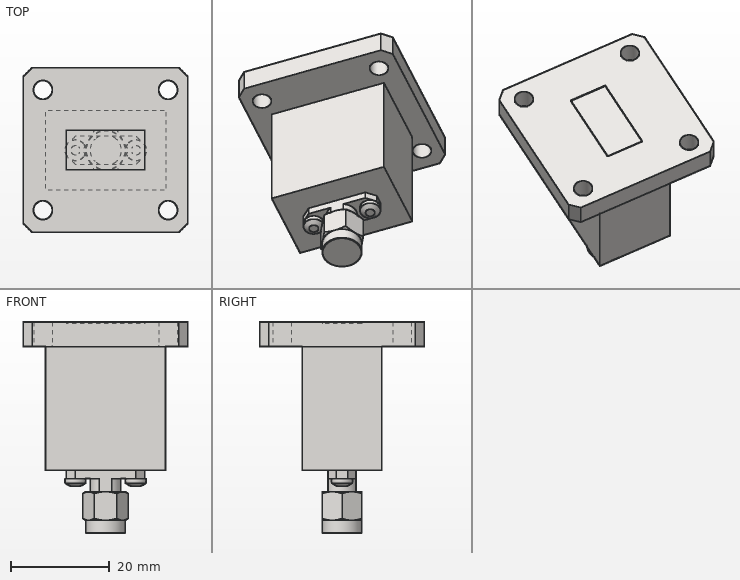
import cadquery as cq
import math


flange_side = 33.32
flange_thickness = 5.0
flange_corner_cut = 1.85
bolt_spacing_x = 25.3
bolt_spacing_y = 24.3
bolt_hole_diameter = 3.75

opening_length = 15.8
opening_width = 7.9
opening_depth = 0.25

body_length = 24.3
body_width = 16.1
body_height = 25.0

plate_length = 15.9
plate_width = 5.68
plate_thickness = 1.65
plate_corner_cut_x = 1.85
plate_corner_cut_y = 1.7

screw_spacing = 12.2
screw_head_diameter = 4.27
screw_edge_taper = 0.07
screw_flare_depth = 0.33
screw_rim_depth = 0.62
screw_dome_depth = 0.93
screw_head_height = 1.55
screw_tip_diameter = 1.9
screw_dome_bulge = 0.04

neck_diameter = 6.25
nut_across_flats = 8.0
nut_sides = 6
nut_height = 5.76
nut_chamfer_angle = 30.0
collar_diameter = nut_across_flats
collar_height = 2.6
collar_edge_cut = 0.1
total_height = 42.67

flange_top = 0.0
body_top = flange_top - flange_thickness
body_bottom = body_top - body_height
plate_bottom = body_bottom - plate_thickness
collar_bottom = flange_top - total_height
nut_bottom = collar_bottom + collar_height
nut_top = nut_bottom + nut_height


def make_flange():
    """Square flange with cut corners, four bolt holes and the waveguide recess."""
    flange = (
        cq.Workplane("XY", origin=(0, 0, body_top))
        .rect(flange_side, flange_side)
        .extrude(flange_thickness)
        .edges("|Z")
        .chamfer(flange_corner_cut)
    )
    bolt_holes = (
        cq.Workplane("XY", origin=(0, 0, body_top))
        .rect(bolt_spacing_x, bolt_spacing_y, forConstruction=True)
        .vertices()
        .circle(bolt_hole_diameter / 2)
        .extrude(flange_thickness)
    )
    opening = (
        cq.Workplane("XY", origin=(0, 0, flange_top))
        .rect(opening_length, opening_width)
        .extrude(-opening_depth)
    )
    return flange.cut(bolt_holes).cut(opening)


def make_body():
    """Rectangular waveguide body."""
    return (
        cq.Workplane("XY", origin=(0, 0, body_bottom))
        .rect(body_length, body_width)
        .extrude(body_height)
    )


def make_plate():
    """Mounting plate with its four corners cut off."""
    half_length = plate_length / 2
    half_width = plate_width / 2
    inner_x = half_length - plate_corner_cut_x
    inner_y = half_width - plate_corner_cut_y
    outline = [
        (half_length, inner_y),
        (inner_x, half_width),
        (-inner_x, half_width),
        (-half_length, inner_y),
        (-half_length, -inner_y),
        (-inner_x, -half_width),
        (inner_x, -half_width),
        (half_length, -inner_y),
    ]
    return (
        cq.Workplane("XY", origin=(0, 0, plate_bottom))
        .polyline(outline)
        .close()
        .extrude(plate_thickness)
    )


def make_screw_head(center_x):
    """Screw head with a rim tapered at both edges and a domed, flat-tipped end."""
    rim_radius = screw_head_diameter / 2
    edge_radius = rim_radius - screw_edge_taper
    tip_radius = screw_tip_diameter / 2
    flare_bottom = plate_bottom - screw_flare_depth
    rim_bottom = plate_bottom - screw_rim_depth
    dome_top = plate_bottom - screw_dome_depth
    tip_bottom = plate_bottom - screw_head_height
    dome_middle = (
        (edge_radius + tip_radius) / 2 + screw_dome_bulge,
        (dome_top + tip_bottom) / 2 - screw_dome_bulge,
    )
    return (
        cq.Workplane("XZ")
        .moveTo(0, plate_bottom)
        .lineTo(edge_radius, plate_bottom)
        .lineTo(rim_radius, flare_bottom)
        .lineTo(rim_radius, rim_bottom)
        .lineTo(edge_radius, dome_top)
        .threePointArc(dome_middle, (tip_radius, tip_bottom))
        .lineTo(0, tip_bottom)
        .close()
        .revolve(360, (0, 0, 0), (0, 1, 0))
        .translate((center_x, 0, 0))
    )


def make_neck():
    """Round neck with two flats facing along Y."""
    neck_height = plate_bottom - nut_top
    neck = cq.Workplane("XY", origin=(0, 0, nut_top)).circle(neck_diameter / 2).extrude(neck_height)
    flats = (
        cq.Workplane("XY", origin=(0, 0, nut_top))
        .rect(neck_diameter, plate_width)
        .extrude(neck_height)
    )
    return neck.intersect(flats)


def make_nut():
    """Hexagonal nut with corners on the X axis, chamfered at both ends."""
    across_corners = nut_across_flats / math.cos(math.pi / nut_sides)
    corner_radius = across_corners / 2
    end_radius = nut_across_flats / 2
    chamfer_height = (corner_radius - end_radius) * math.tan(math.radians(nut_chamfer_angle))
    hexagon = (
        cq.Workplane("XY", origin=(0, 0, nut_bottom))
        .polygon(nut_sides, across_corners)
        .extrude(nut_height)
    )
    chamfer_envelope = (
        cq.Workplane("XZ")
        .moveTo(0, nut_bottom)
        .lineTo(end_radius, nut_bottom)
        .lineTo(corner_radius, nut_bottom + chamfer_height)
        .lineTo(corner_radius, nut_top - chamfer_height)
        .lineTo(end_radius, nut_top)
        .lineTo(0, nut_top)
        .close()
        .revolve(360, (0, 0, 0), (0, 1, 0))
    )
    return hexagon.intersect(chamfer_envelope)


def make_collar():
    """Round collar below the nut with a slightly broken end edge."""
    return (
        cq.Workplane("XY", origin=(0, 0, collar_bottom))
        .circle(collar_diameter / 2)
        .extrude(collar_height)
        .faces("<Z")
        .edges()
        .chamfer(collar_edge_cut)
    )


result = make_flange().union(make_body()).union(make_plate())
for screw_x in (-screw_spacing / 2, screw_spacing / 2):
    result = result.union(make_screw_head(screw_x))
result = result.union(make_neck()).union(make_nut()).union(make_collar())